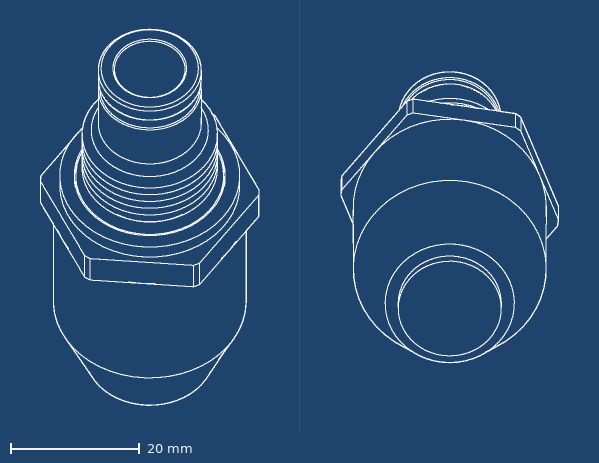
import cadquery as cq

total_height = 75.2
tip_top = 2.0
taper_top = 15.6
hex_bottom = 39.7
hex_top = 45.2
flange_top = 47.75
thread_bottom = 48.9
thread_top = 59.4
shoulder_top = 61.2
groove_bottom = 70.15
groove_top = 72.2

pipe_diameter = 16.0
taper_end_diameter = 20.1
body_diameter = 30.0
flange_diameter = 28.0
undercut_diameter = 18.2
thread_root_diameter = 19.0
thread_crest_diameter = 21.05
groove_diameter = 12.0
bore_diameter = 11.0

thread_ring_count = 6
thread_pitch = 1.7
first_crest_height = 49.7

hex_across_flats = body_diameter
hex_corner_diameter = 34.1

seal_outer_diameter = 23.5
seal_inner_diameter = 23.0
seal_depth = 1.0

bore_depth = 15.05
bore_chamfer = 0.2
rim_chamfer = 0.45
edge_chamfer = 0.2


def thread_points():
    """Crests and the roots between them, from bottom to top."""
    points = []
    for ring in range(thread_ring_count):
        crest_height = first_crest_height + ring * thread_pitch
        points.append((thread_crest_diameter / 2, crest_height))
        if ring < thread_ring_count - 1:
            points.append((thread_root_diameter / 2, crest_height + thread_pitch / 2))
    return points


def turned_body():
    """Revolved outer shape: tapered body, flange, thread and grooved pipe end."""
    pipe_radius = pipe_diameter / 2
    profile = [
        (0, 0),
        (pipe_radius, 0),
        (pipe_radius, tip_top),
        (taper_end_diameter / 2, tip_top),
        (body_diameter / 2, taper_top),
        (body_diameter / 2, hex_bottom),
        (flange_diameter / 2, hex_bottom),
        (flange_diameter / 2, flange_top),
        (undercut_diameter / 2, flange_top),
        (undercut_diameter / 2, thread_bottom),
        *thread_points(),
        (undercut_diameter / 2, thread_top),
        (pipe_radius, shoulder_top),
        (pipe_radius, groove_bottom - edge_chamfer),
        (pipe_radius - edge_chamfer, groove_bottom),
        (groove_diameter / 2, groove_bottom),
        (groove_diameter / 2, groove_top),
        (pipe_radius - edge_chamfer, groove_top),
        (pipe_radius, groove_top + edge_chamfer),
        (pipe_radius, total_height - rim_chamfer),
        (pipe_radius - rim_chamfer, total_height),
        (0, total_height),
    ]
    return cq.Workplane("XZ").polyline(profile).close().revolve(360, (0, 0), (0, 1))


def hex_collar():
    """Hexagon with corners on the X axis, trimmed by a cylinder."""
    height = hex_top - hex_bottom
    base = cq.Workplane("XY").workplane(offset=hex_bottom)
    hexagon = base.polygon(6, hex_across_flats, circumscribed=True).extrude(height)
    hexagon = hexagon.rotate((0, 0, 0), (0, 0, 1), 90)
    return hexagon.intersect(base.circle(hex_corner_diameter / 2).extrude(height))


def seal_groove():
    """Narrow ring sunk into the flange face."""
    return (
        cq.Workplane("XY")
        .workplane(offset=flange_top - seal_depth)
        .circle(seal_outer_diameter / 2)
        .circle(seal_inner_diameter / 2)
        .extrude(seal_depth)
    )


def bore():
    """Blind bore with a chamfered mouth."""
    radius = bore_diameter / 2
    profile = [
        (0, total_height - bore_depth),
        (radius, total_height - bore_depth),
        (radius, total_height - bore_chamfer),
        (radius + bore_chamfer, total_height),
        (0, total_height),
    ]
    return cq.Workplane("XZ").polyline(profile).close().revolve(360, (0, 0), (0, 1))


result = turned_body().union(hex_collar()).cut(seal_groove()).cut(bore())